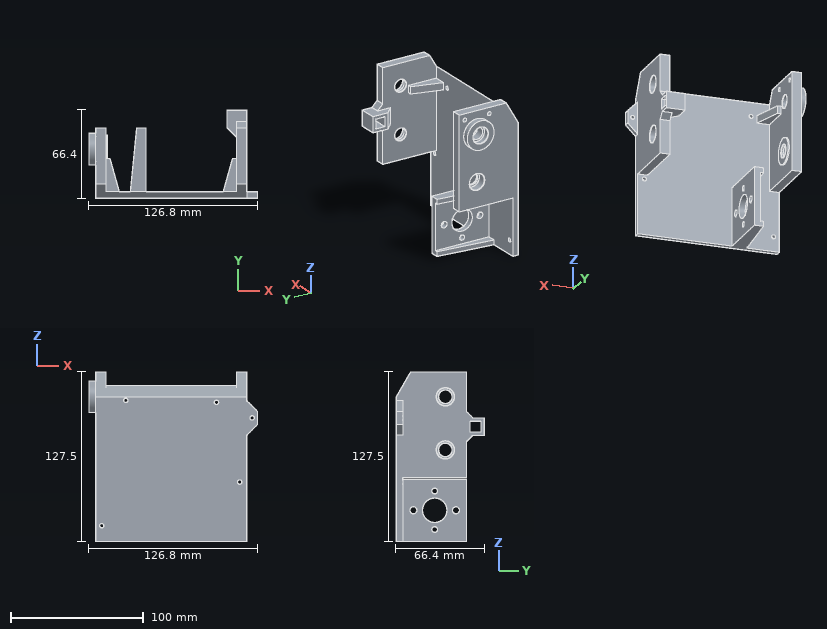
import cadquery as cq
import math


width = 113.8
height = 127.54
plate_thickness = 5.0
depth = 53.0
wall_thickness = 7.9
wall_bottom = 48.0
bevel_angle = 60.0
bevel_depth = 10.8
bevel_height = bevel_depth * math.tan(math.radians(bevel_angle))
right_wall_x = width - wall_thickness

bearing_y = 37.0
upper_bearing_z = 108.9
bearing_spacing = 40.0
lower_bearing_z = upper_bearing_z - bearing_spacing
shaft_diameter = 10.0
bearing_diameter = 13.25
wall_seat_depth = 7.0
collar_seat_depth = 5.0
right_seat_depth = 5.0
mouth_chamfer = 0.3
collar_diameter = 24.0
collar_length = 5.0
washer_face_diameter = 21.0
washer_face_height = 1.0

screw_diameter = 3.1
pilot_spacing = 22.0
pilot_z = 122.4

gusset_reach = 30.0
gusset_base = 10.0
gusset_tip = 3.0
gusset_thickness = 6.0
gusset_top = 107.5

motor_plate_x = 38.0
motor_plate_thickness = 5.0
motor_bracket_height = 47.0
flange_thickness = 4.0
flange_base = 12.0
flange_tip = 7.2
motor_y = (plate_thickness + depth) / 2
motor_z = motor_bracket_height / 2
motor_bore_diameter = 18.2
side_hole_diameter = 5.1
side_hole_offset = 16.0
end_hole_diameter = 4.1
end_hole_offset = 14.5

guide_size = 13.35
guide_length = 15.0
guide_opening = 8.0
guide_z = 86.4
guide_overhang = guide_length - wall_thickness
guide_web = 4.7

tab_reach = 8.0
tab_end_height = 10.0
tab_z = 93.0
plate_holes = [
    (22.7, 106.2),
    (90.9, 104.7),
    (108.4, 44.7),
    (4.6, 11.9),
    (width + tab_reach / 2, tab_z),
]


def extrude_along_x(outline, start, length):
    """Prism of a (y, z) outline running from x = start."""
    return cq.Workplane("YZ").workplane(offset=start).polyline(outline).close().extrude(length)


def extrude_along_z(outline, start, length):
    """Prism of an (x, y) outline running from z = start."""
    return cq.Workplane("XY").workplane(offset=start).polyline(outline).close().extrude(length)


def cylinder_along_x(diameter, y, z, start, length):
    return cq.Workplane("YZ").workplane(offset=start).center(y, z).circle(diameter / 2).extrude(length)


def make_frame():
    """Plate and both walls, sharing one bevel along their upper front edge."""
    profile = [
        (0, 0),
        (plate_thickness, 0),
        (plate_thickness, wall_bottom),
        (depth, wall_bottom),
        (depth, height),
        (bevel_depth, height),
        (0, height - bevel_height),
    ]
    space_between_walls = cq.Workplane("XY").box(
        right_wall_x - wall_thickness, depth, height, centered=False
    ).translate((wall_thickness, plate_thickness, 0))
    return extrude_along_x(profile, 0, width).cut(space_between_walls)


def make_gussets():
    """One tapered gusset in each inner corner between plate and wall."""
    outline = [
        (wall_thickness, plate_thickness),
        (wall_thickness + gusset_base, plate_thickness),
        (wall_thickness + gusset_tip, gusset_reach),
        (wall_thickness, gusset_reach),
    ]
    left = extrude_along_z(outline, gusset_top - gusset_thickness, gusset_thickness)
    right = left.mirror("YZ").translate((width, 0, 0))
    return left.union(right)


def make_motor_bracket():
    """Motor plate with its flanges, drilled for the motor boss and four screws."""
    bracket = cq.Workplane("XY").box(
        motor_plate_thickness, depth - plate_thickness, motor_bracket_height, centered=False
    ).translate((motor_plate_x - motor_plate_thickness, plate_thickness, 0))
    flange = [
        (motor_plate_x, plate_thickness),
        (motor_plate_x, depth),
        (motor_plate_x - flange_tip, depth),
        (motor_plate_x - flange_base, plate_thickness),
    ]
    for bottom in (0, motor_bracket_height - flange_thickness):
        bracket = bracket.union(extrude_along_z(flange, bottom, flange_thickness))
    holes = [(motor_bore_diameter, 0, 0)]
    for side in (-1, 1):
        holes.append((side_hole_diameter, side * side_hole_offset, 0))
        holes.append((end_hole_diameter, 0, side * end_hole_offset))
    for diameter, dy, dz in holes:
        bracket = bracket.cut(
            cylinder_along_x(diameter, motor_y + dy, motor_z + dz, 0, motor_plate_x)
        )
    return bracket


def make_guide():
    """Square tube behind the right wall, webbed to the wall edge and braced underneath."""
    inner_x = width - guide_length
    outline = [
        (width, depth + guide_size),
        (inner_x, depth + guide_size),
        (inner_x, depth),
        (right_wall_x, depth - guide_overhang),
        (width, depth - guide_overhang),
    ]
    block = extrude_along_z(outline, guide_z - guide_size / 2, guide_size)
    web_half_height = guide_size / 2 + guide_web
    web = [
        (depth, guide_z - web_half_height),
        (depth + guide_web, guide_z - guide_size / 2),
        (depth + guide_web, guide_z + guide_size / 2),
        (depth, guide_z + web_half_height),
    ]
    opening = (
        cq.Workplane("YZ")
        .workplane(offset=inner_x)
        .center(depth + guide_size / 2, guide_z)
        .rect(guide_opening, guide_opening)
        .extrude(guide_length)
    )
    return block.union(extrude_along_x(web, right_wall_x, wall_thickness)).cut(opening)


def make_tab():
    """Mounting tab on the right edge of the plate, with 45 degree shoulders."""
    end_half = tab_end_height / 2
    root_half = end_half + tab_reach
    outline = [
        (width, tab_z - root_half),
        (width + tab_reach, tab_z - end_half),
        (width + tab_reach, tab_z + end_half),
        (width, tab_z + root_half),
    ]
    return cq.Workplane("XZ").polyline(outline).close().extrude(-plate_thickness)


def add_bearing_faces(body):
    """Outer collar at the upper bearing and thin washer face at the lower one, on the left wall."""
    collar = cylinder_along_x(collar_diameter, bearing_y, upper_bearing_z, -collar_length, collar_length)
    washer_face = cylinder_along_x(
        washer_face_diameter, bearing_y, lower_bearing_z, wall_thickness, washer_face_height
    )
    return body.union(collar).union(washer_face)


def bearing_hole(z, outer_x, inner_x, seat_depth):
    """Revolved cutter: seat from the outer face, shaft hole to the inner face, both mouths chamfered."""
    inward = math.copysign(1, inner_x - outer_x)
    seat_radius = bearing_diameter / 2
    shaft_radius = shaft_diameter / 2
    seat_floor_x = outer_x + inward * seat_depth
    outline = [
        (outer_x, 0),
        (outer_x, seat_radius + mouth_chamfer),
        (outer_x + inward * mouth_chamfer, seat_radius),
        (seat_floor_x, seat_radius),
        (seat_floor_x, shaft_radius),
        (inner_x - inward * mouth_chamfer, shaft_radius),
        (inner_x, shaft_radius + mouth_chamfer),
        (inner_x, 0),
    ]
    cutter = cq.Workplane("XY").polyline(outline).close().revolve(360, (0, 0), (1, 0))
    return cutter.translate((0, bearing_y, z))


def cut_bearings(body):
    """Bearing holes of both walls, with every seat sunk from the outer side."""
    left_inner_x = wall_thickness + washer_face_height
    return (
        body.cut(bearing_hole(upper_bearing_z, -collar_length, wall_thickness, collar_seat_depth))
        .cut(bearing_hole(lower_bearing_z, 0, left_inner_x, wall_seat_depth))
        .cut(bearing_hole(upper_bearing_z, width, right_wall_x, right_seat_depth))
        .cut(bearing_hole(lower_bearing_z, width, right_wall_x, right_seat_depth))
    )


def cut_screw_holes(body):
    """Pilot holes through the left wall and mounting holes through the plate and tab."""
    for side in (-1, 1):
        y = bearing_y + side * pilot_spacing / 2
        body = body.cut(cylinder_along_x(screw_diameter, y, pilot_z, 0, wall_thickness))
    holes = cq.Workplane("XZ").pushPoints(plate_holes).circle(screw_diameter / 2).extrude(-plate_thickness)
    return body.cut(holes)


body = make_frame()
for feature in (make_gussets(), make_motor_bracket(), make_guide(), make_tab()):
    body = body.union(feature)
body = add_bearing_faces(body)
body = cut_bearings(body)
result = cut_screw_holes(body)